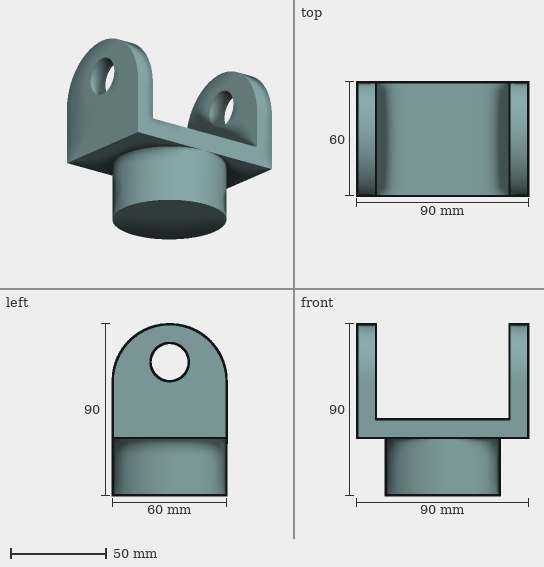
import cadquery as cq

yoke_width = 90.0
yoke_depth = 60.0
yoke_height = 60.0
wall = 10.0
stem_diameter = yoke_depth
stem_length = 30.0
pin_hole_diameter = 20.0
pin_hole_below_top = 20.0

ear_radius = yoke_depth / 2
ear_arc_center_z = yoke_height - ear_radius
pin_hole_z = yoke_height - pin_hole_below_top
gap_between_ears = yoke_width - 2 * wall


def make_yoke_blank():
    """Round-topped profile in the YZ plane, extruded over the full width."""
    return (
        cq.Workplane("YZ")
        .moveTo(-ear_radius, 0)
        .lineTo(ear_radius, 0)
        .lineTo(ear_radius, ear_arc_center_z)
        .threePointArc((0, yoke_height), (-ear_radius, ear_arc_center_z))
        .close()
        .extrude(yoke_width / 2, both=True)
    )


def make_ear_gap():
    """Block that is removed above the base to leave the two ears."""
    return (
        cq.Workplane("XY")
        .workplane(offset=wall)
        .rect(gap_between_ears, yoke_depth)
        .extrude(yoke_height - wall)
    )


def make_pin_hole():
    """Cylinder along X that passes through both ears."""
    return (
        cq.Workplane("YZ")
        .center(0, pin_hole_z)
        .circle(pin_hole_diameter / 2)
        .extrude(yoke_width / 2, both=True)
    )


def make_stem():
    """Round stem hanging below the base."""
    return cq.Workplane("XY").circle(stem_diameter / 2).extrude(-stem_length)


yoke = make_yoke_blank().cut(make_ear_gap()).cut(make_pin_hole())
result = yoke.union(make_stem())